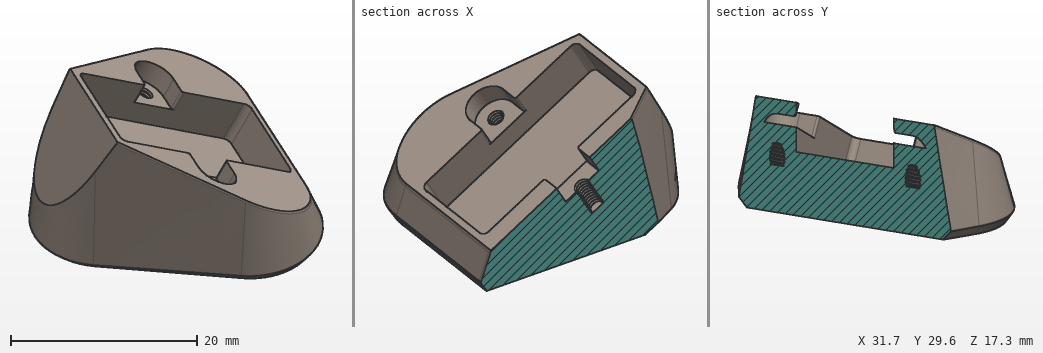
import cadquery as cq
import math

corner_spacing = 16.0
centre_to_back = corner_spacing / (2 * math.sqrt(3))
centre_to_front = 2 * centre_to_back

height = 17.31
base_radius = 7.0
rim_radius = 7.85
rim_shift = -0.06
rim_height = 1.26
rim_band = 0.15
rim_rise = 0.0118
top_radius = 6.22
top_shift = 0.19
top_stretch = 1.015
top_chamfer_inset = 0.1
top_chamfer_drop = 0.25
slope_angle = 30.0
ridge_y = -10.27

pocket_width = 12.0
pocket_length = 23.0
pocket_depth = 4.8
pocket_corner_radius = 0.75
ridge_to_pocket = 0.9
slot_width = 4.9
slot_depth = pocket_depth / 2
slot_centre_offset = 8.35
slot_mouth_radius = 0.25

thread_minor_diameter = 1.5
thread_major_diameter = 1.85
thread_pitch = 0.4
thread_turns = 10

slope_tangent = math.tan(math.radians(slope_angle))
top_height = height + slope_tangent * ridge_y
pocket_centre = ridge_to_pocket + pocket_length / 2

top_plane = cq.Plane(
    origin=(0, ridge_y, height),
    xDir=(1, 0, 0),
    normal=(0, math.sin(math.radians(slope_angle)), math.cos(math.radians(slope_angle))),
)


def outline(radius, shift, level, rise, stretch=1):
    """Rounded triangle, stretched in Y and dropped vertically onto the plane z = level + rise * y."""
    half = corner_spacing / 2
    back_y = shift + centre_to_back
    front_y = shift - centre_to_front

    def on_corner(centre_x, centre_y, angle):
        turn = math.radians(angle)
        return (centre_x + radius * math.cos(turn), centre_y + radius * math.sin(turn))

    flat = (
        cq.Workplane("XY")
        .moveTo(*on_corner(-half, back_y, 90))
        .lineTo(*on_corner(half, back_y, 90))
        .threePointArc(on_corner(half, back_y, 30), on_corner(half, back_y, -30))
        .lineTo(*on_corner(0, front_y, -30))
        .threePointArc(on_corner(0, front_y, -90), on_corner(0, front_y, -150))
        .lineTo(*on_corner(-half, back_y, -150))
        .threePointArc(on_corner(-half, back_y, 150), on_corner(-half, back_y, 90))
        .close()
        .val()
    )
    tilt = cq.Matrix([[1, 0, 0, 0], [0, stretch, 0, 0], [0, rise * stretch, 1, level]])
    return flat.transformGeometry(tilt)


def wedge_body():
    sections = [
        outline(base_radius, 0, 0, 0),
        outline(rim_radius, rim_shift, rim_height - rim_band, rim_rise),
        outline(rim_radius, rim_shift, rim_height, rim_rise),
        outline(top_radius, top_shift, top_height - top_chamfer_drop, -slope_tangent, top_stretch),
        outline(top_radius - top_chamfer_inset, top_shift, top_height, -slope_tangent, top_stretch),
    ]
    body = cq.Workplane(cq.Solid.makeLoft(sections, True))
    cutter_size = 4 * height
    front_cutter = (
        cq.Workplane(top_plane)
        .center(0, -cutter_size / 2)
        .rect(cutter_size, cutter_size)
        .extrude(cutter_size, both=True)
    )
    return body.cut(front_cutter)


def recess():
    """Rectangular pocket crossed by a shallower round-ended slot."""
    pocket = (
        cq.Workplane(top_plane)
        .center(0, pocket_centre)
        .rect(pocket_width, pocket_length)
        .extrude(-pocket_depth)
        .edges(cq.selectors.ParallelDirSelector(top_plane.zDir))
        .fillet(pocket_corner_radius)
    )
    slot = (
        cq.Workplane(top_plane)
        .center(0, pocket_centre)
        .slot2D(2 * slot_centre_offset + slot_width, slot_width)
        .extrude(-slot_depth)
    )
    return pocket.union(slot)


def slot_mouth_rounding(side_x, side_y):
    """Cutter that rounds one upright corner where the slot opens into the pocket."""
    corner_x = side_x * pocket_width / 2
    corner_y = pocket_centre + side_y * slot_width / 2
    reach_x = side_x * slot_mouth_radius
    reach_y = side_y * slot_mouth_radius
    middle = 1 - math.sqrt(0.5)
    return (
        cq.Workplane(top_plane)
        .moveTo(corner_x, corner_y)
        .lineTo(corner_x + reach_x, corner_y)
        .threePointArc(
            (corner_x + middle * reach_x, corner_y + middle * reach_y),
            (corner_x, corner_y + reach_y),
        )
        .close()
        .extrude(-slot_depth)
    )


def threaded_hole(side):
    """Blind screw hole below a slot end, with V-shaped ring grooves down its wall."""
    minor = thread_minor_diameter / 2
    major = thread_major_diameter / 2
    depth = thread_pitch * thread_turns
    profile = cq.Workplane("XZ").lineTo(major, 0)
    for turn in range(thread_turns):
        groove_top = -turn * thread_pitch
        profile = profile.lineTo(minor, groove_top - thread_pitch / 2)
        profile = profile.lineTo(major, groove_top - thread_pitch)
    cutter = profile.lineTo(0, -depth).close().revolve(360, (0, 0, 0), (0, 1, 0)).val()
    hole_top = cq.Vector(side * slot_centre_offset, pocket_centre, -slot_depth)
    hole_plane = cq.Plane(top_plane.toWorldCoords(hole_top), top_plane.xDir, top_plane.zDir)
    return cutter.moved(cq.Location(hole_plane))


result = wedge_body().cut(recess())
for side_x in (-1, 1):
    result = result.cut(cq.Workplane(threaded_hole(side_x)))
    for side_y in (-1, 1):
        result = result.cut(slot_mouth_rounding(side_x, side_y))